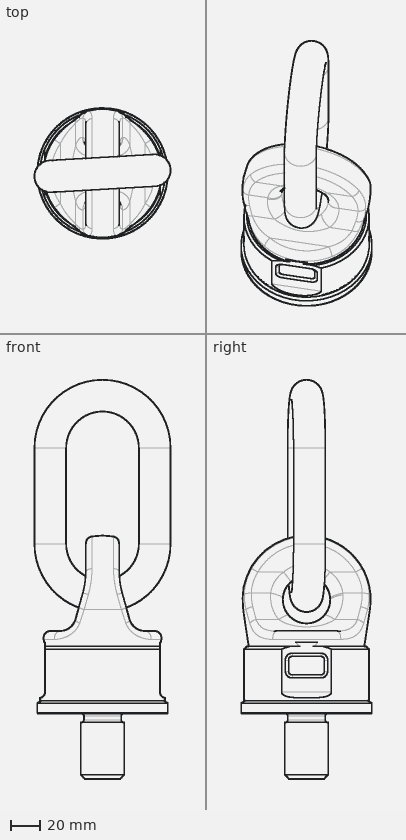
import cadquery as cq
import math

STUD_RADIUS = 15.0
STUD_TOP = 39.0
STUD_TIP_CHAMFER = 3.0
NECK_RADIUS = 13.0
NECK_FILLET = 1.6

FLANGE_RADIUS = 45.0
FLANGE_BOTTOM = 45.0
FLANGE_TOP = 52.0
FLANGE_CHAMFER = 0.5
GROOVE_RADIUS = 42.2
BASE_RADIUS = 43.0
BASE_BOTTOM = 53.8
BASE_TOP = 91.0
BASE_CHAMFER = 2.0

FLAT_DISTANCE = 39.5
FLAT_TOP = 93.8
FLAT_BOTTOM = 59.8
FLAT_RUNOUT_RADIUS = 4.0
RECESS_WIDTH = 29.0
RECESS_HEIGHT = 17.0
RECESS_CENTRE_Z = 78.0
RECESS_DEPTH = 1.5
RECESS_CORNER = 4.7
RECESS_WALL_RUN = 2.2

EYE_RADIUS = 44.2
EYE_CENTRE_Z = 123.2
FOOT_RADIUS = 39.8
RIM_FILLET = 5.0
EYE_HALF_THICKNESS = 11.5
SHOULDER_Z = 135.0
SHOULDER_RADIUS = 53.5
LIP_CORNER_X = 20.8
LIP_TOP = 101.8
LIP_CORNER_RADIUS = 11.0
HOLE_RADIUS = 16.2
HOLE_FILLET = 8.8

WIRE_RADIUS = 11.0
BEND_RADIUS = 36.0
LINK_TOP = 274.3
LOWER_BEND_Z = 161.5
UPPER_BEND_Z = LINK_TOP - WIRE_RADIUS - BEND_RADIUS
LINK_TURN = 3.3

TOLERANCE = 0.03

CLEARANCE = 13.7


def make_base():
    """Stud, neck, flange and base, turned about Z."""
    neck_end_radius = NECK_RADIUS + NECK_FILLET
    return (
        cq.Workplane("XZ")
        .moveTo(0, 0)
        .lineTo(STUD_RADIUS - STUD_TIP_CHAMFER, 0)
        .lineTo(STUD_RADIUS, STUD_TIP_CHAMFER)
        .lineTo(STUD_RADIUS, STUD_TOP)
        .lineTo(neck_end_radius, STUD_TOP)
        .radiusArc((NECK_RADIUS, STUD_TOP + NECK_FILLET), NECK_FILLET)
        .lineTo(NECK_RADIUS, FLANGE_BOTTOM - NECK_FILLET)
        .radiusArc((neck_end_radius, FLANGE_BOTTOM), NECK_FILLET)
        .lineTo(FLANGE_RADIUS - FLANGE_CHAMFER, FLANGE_BOTTOM)
        .lineTo(FLANGE_RADIUS, FLANGE_BOTTOM + FLANGE_CHAMFER)
        .lineTo(FLANGE_RADIUS, FLANGE_TOP)
        .lineTo(GROOVE_RADIUS, BASE_BOTTOM)
        .lineTo(BASE_RADIUS, BASE_BOTTOM)
        .lineTo(BASE_RADIUS, BASE_TOP - BASE_CHAMFER)
        .lineTo(BASE_RADIUS - BASE_CHAMFER, BASE_TOP)
        .lineTo(0, BASE_TOP)
        .close()
        .revolve(360, (0, 0, 0), (0, 1, 0))
    )


def make_flat_cutter():
    """Cutter for the flat on the +X side, with its rounded run-out and its recess."""
    runout_x = FLAT_DISTANCE + FLAT_RUNOUT_RADIUS
    runout_z = FLAT_BOTTOM - FLAT_RUNOUT_RADIUS
    flat = (
        cq.Workplane("XZ")
        .moveTo(FLAT_DISTANCE, FLAT_TOP)
        .lineTo(FLAT_DISTANCE, FLAT_BOTTOM)
        .radiusArc((runout_x, runout_z), -FLAT_RUNOUT_RADIUS)
        .lineTo(runout_x, FLAT_TOP)
        .close()
        .extrude(BASE_RADIUS, both=True)
    )
    recess = (
        cq.Workplane("YZ", origin=(FLAT_DISTANCE, 0, RECESS_CENTRE_Z))
        .sketch()
        .rect(RECESS_WIDTH, RECESS_HEIGHT)
        .vertices()
        .fillet(RECESS_CORNER)
        .finalize()
        .extrude(-RECESS_DEPTH, taper=math.degrees(math.atan2(RECESS_WALL_RUN, RECESS_DEPTH)))
    )
    return flat.union(recess)


def make_eye_blank():
    """Ball on a cone that is tangent to it, turned about Z."""
    rise = EYE_CENTRE_Z - BASE_TOP
    foot_to_centre = math.hypot(FOOT_RADIUS, rise)
    tangent_angle = math.acos(EYE_RADIUS / foot_to_centre) - math.atan2(rise, FOOT_RADIUS)
    middle_angle = (tangent_angle + math.pi / 2) / 2

    def on_ball(angle):
        return (EYE_RADIUS * math.cos(angle), EYE_CENTRE_Z + EYE_RADIUS * math.sin(angle))

    return (
        cq.Workplane("YZ")
        .moveTo(0, BASE_TOP)
        .lineTo(FOOT_RADIUS, BASE_TOP)
        .lineTo(*on_ball(tangent_angle))
        .threePointArc(on_ball(middle_angle), on_ball(math.pi / 2))
        .close()
        .revolve(360, (0, 0, 0), (0, 1, 0))
    )


def make_flank_cutter():
    """Material to remove on the +X side: above the lip and outside the waisted flank."""
    reach = EYE_RADIUS + CLEARANCE
    top = EYE_CENTRE_Z + reach
    return (
        cq.Workplane("XZ")
        .moveTo(EYE_HALF_THICKNESS, top)
        .lineTo(EYE_HALF_THICKNESS, SHOULDER_Z)
        .lineTo(LIP_CORNER_X, LIP_TOP)
        .lineTo(reach, LIP_TOP)
        .lineTo(reach, top)
        .close()
        .extrude(reach, both=True)
        .edges(cq.NearestToPointSelector((EYE_HALF_THICKNESS, 0, SHOULDER_Z)))
        .fillet(SHOULDER_RADIUS)
        .edges(cq.NearestToPointSelector((LIP_CORNER_X, 0, LIP_TOP)))
        .fillet(LIP_CORNER_RADIUS)
    )


def is_rim_edge(edge):
    """True for the edges where a flank or lip meets the outside of the ball or cone."""
    middle = edge.positionAt(0.5)
    is_level = edge.BoundingBox().zlen < TOLERANCE
    on_lip = abs(middle.z - LIP_TOP) < TOLERANCE
    off_centre = abs(middle.x) > EYE_HALF_THICKNESS / 2
    return edge.geomType() != "LINE" and off_centre and (on_lip or not is_level)


def is_hole_edge(edge):
    """True for the edges where the hole breaks out through a flank."""
    hole_axis = (0, EYE_CENTRE_Z)
    points = [edge.startPoint(), edge.positionAt(0.5), edge.endPoint()]
    on_hole = all(abs(math.dist((p.y, p.z), hole_axis) - HOLE_RADIUS) < TOLERANCE for p in points)
    return edge.geomType() != "LINE" and on_hole


def make_eye():
    """Waisted eye with a rounded rim and a round-edged hole along X."""
    flank_cutter = make_flank_cutter()
    blank = make_eye_blank().cut(flank_cutter).cut(flank_cutter.mirror("YZ"))
    rim_edges = [edge for edge in blank.edges().vals() if is_rim_edge(edge)]
    rounded = blank.newObject(rim_edges).fillet(RIM_FILLET)
    hole = (
        cq.Workplane("YZ")
        .center(0, EYE_CENTRE_Z)
        .circle(HOLE_RADIUS)
        .extrude(EYE_RADIUS, both=True)
    )
    bored = rounded.cut(hole)
    hole_edges = [edge for edge in bored.edges().vals() if is_hole_edge(edge)]
    return bored.newObject(hole_edges).fillet(HOLE_FILLET)


def make_swivel():
    """Stud, flange, base and eye as one body, with the two flats cut into it."""
    flat_cutter = make_flat_cutter()
    return make_base().union(make_eye()).cut(flat_cutter).cut(flat_cutter.mirror("YZ"))


def make_link():
    """Ring with two straight sides and two half-circle bends, turned a little about Z."""
    path = (
        cq.Workplane("XZ")
        .moveTo(BEND_RADIUS, LOWER_BEND_Z)
        .lineTo(BEND_RADIUS, UPPER_BEND_Z)
        .radiusArc((-BEND_RADIUS, UPPER_BEND_Z), -BEND_RADIUS)
        .lineTo(-BEND_RADIUS, LOWER_BEND_Z)
        .radiusArc((BEND_RADIUS, LOWER_BEND_Z), -BEND_RADIUS)
        .close()
    )
    ring = cq.Workplane("XY", origin=(BEND_RADIUS, 0, LOWER_BEND_Z)).circle(WIRE_RADIUS).sweep(path)
    return ring.rotate((0, 0, 0), (0, 0, 1), LINK_TURN)


swivel = make_swivel()
link = make_link()
result = cq.Compound.makeCompound([swivel.val(), link.val()])